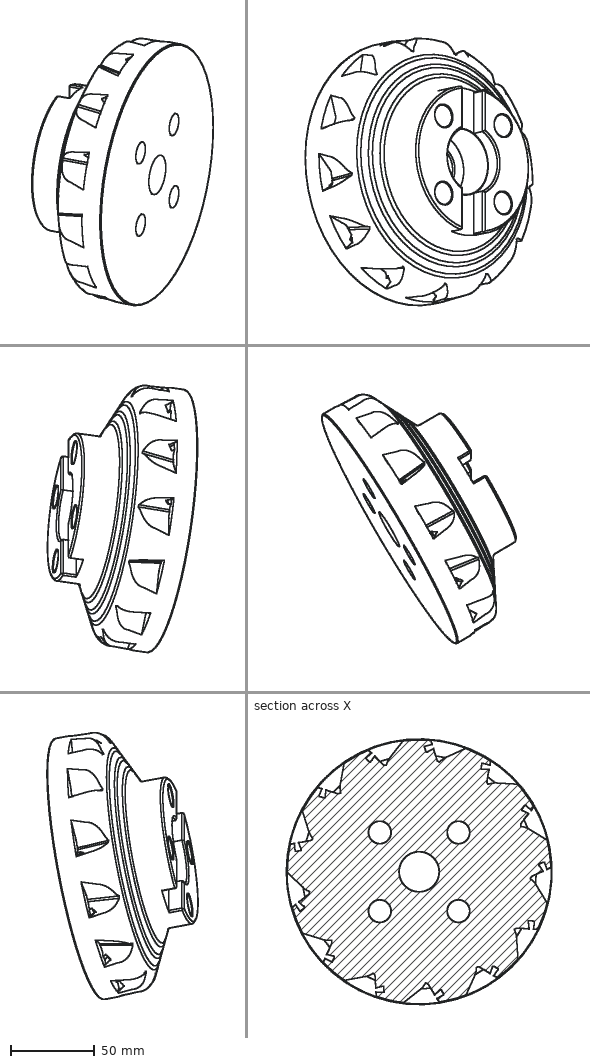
import cadquery as cq
import math

length = 63.0
outer_radius = 80.0
back_chamfer = 0.6

hub_radius = 45.0
hub_chamfer = 1.3
hub_end_x = 15.0

cone_start = (17.6, 46.2)
cone_end = (32.3, 74.5)
crown_start = (41.5, 79.2)
rim_start_x = 54.0
rim_step = 1.5
rim_lip_radius = 79.7

groove_radii = (54.0, 60.5, 66.9)
groove_half_width = 1.1
groove_depth = 0.5

bore_radius = 12.0
bore_chamfer = 1.0
counterbore_radius = 20.0
counterbore_depth = 32.0
counterbore_chamfer = 1.1
bore_relief_start_x = 10.0
bore_relief_end_x = 24.8
bore_relief_taper = 1.3
bore_relief_step = 0.3
bolt_radius = 6.7
bolt_chamfer = 0.5
bolt_offset = 23.7
slot_width = 16.3
slot_depth = 9.3
slot_chamfer = 1.1

pocket_count = 13
pocket_pitch = 360 / pocket_count
first_pocket_angle = -3.4
pocket_end_x = 50.2
pocket_slant = 14.0
pocket_run = 32.0
pocket_clearance = 8.0
undercut_radius = 70.4
undercut_length = 5.1
seat_root = (-11.8, 1.1)
seat_angle = 28.4
seat_length = 22.4
relief_root = (-12.5, -0.2)
relief_bulge = 0.2
flank_root = (-8.8, -3.7)
flank_angle = -56.2
flank_length = 24.0

recess_center = 9.0
recess_reach = 3.4
recess_depth = 4.8


def on_cone(radius):
    """Point on the cone line at the given radius."""
    share = (radius - cone_start[1]) / (cone_end[1] - cone_start[1])
    return cone_start[0] + share * (cone_end[0] - cone_start[0]), radius


def make_body():
    cone_angle = math.atan2(cone_end[1] - cone_start[1], cone_end[0] - cone_start[0])
    outline = (
        cq.Workplane("XY")
        .moveTo(0, 0)
        .lineTo(0, hub_radius - hub_chamfer)
        .lineTo(hub_chamfer, hub_radius)
        .lineTo(hub_end_x, hub_radius)
        .tangentArcPoint(cone_start, relative=False)
    )
    for radius in groove_radii:
        middle_x, middle_radius = on_cone(radius)
        bottom = (
            middle_x + groove_depth * math.sin(cone_angle),
            middle_radius - groove_depth * math.cos(cone_angle),
        )
        outline = outline.lineTo(*on_cone(radius - groove_half_width))
        outline = outline.threePointArc(bottom, on_cone(radius + groove_half_width))
    profile = (
        outline.lineTo(*cone_end)
        .tangentArcPoint(crown_start, relative=False)
        .lineTo(rim_start_x - rim_step, rim_lip_radius)
        .lineTo(rim_start_x, outer_radius)
        .lineTo(length - back_chamfer, outer_radius)
        .lineTo(length, outer_radius - back_chamfer)
        .lineTo(length, 0)
        .close()
    )
    return profile.revolve(360, (0, 0, 0), (1, 0, 0))


def cut_slot(body):
    slot = cq.Workplane("XY").box(
        slot_depth, slot_width, 2 * outer_radius, centered=(False, True, True)
    )
    body = body.cut(slot)
    side_corners = body.edges("|X").filter(
        lambda edge: edge.Center().x < slot_depth and abs(edge.Center().y) < slot_width
    )
    body = side_corners.chamfer(slot_chamfer)
    half_width = slot_width / 2
    bevel = (
        cq.Workplane("XY")
        .polyline([
            (0, -half_width - slot_chamfer),
            (0, half_width + slot_chamfer),
            (slot_chamfer, half_width),
            (slot_chamfer, -half_width),
        ])
        .close()
        .extrude(outer_radius, both=True)
    )
    return body.cut(bevel)


def cut_bores(body):
    bore = (
        cq.Workplane("XY")
        .polyline([
            (0, 0),
            (0, counterbore_radius + counterbore_chamfer),
            (counterbore_chamfer, counterbore_radius),
            (bore_relief_start_x, counterbore_radius),
            (bore_relief_start_x, counterbore_radius + bore_relief_step),
            (bore_relief_end_x, counterbore_radius + bore_relief_step),
            (bore_relief_end_x + bore_relief_taper, counterbore_radius),
            (counterbore_depth, counterbore_radius),
            (counterbore_depth, bore_radius + bore_chamfer),
            (counterbore_depth + bore_chamfer, bore_radius),
            (length, bore_radius),
            (length, 0),
        ])
        .close()
        .revolve(360, (0, 0, 0), (1, 0, 0))
    )
    bolt_hole = (
        cq.Workplane("XY")
        .polyline([
            (0, 0),
            (0, bolt_radius + bolt_chamfer),
            (bolt_chamfer, bolt_radius),
            (length, bolt_radius),
            (length, 0),
        ])
        .close()
        .revolve(360, (0, 0, 0), (1, 0, 0))
    )
    body = body.cut(bore)
    for y in (-bolt_offset, bolt_offset):
        for z in (-bolt_offset, bolt_offset):
            body = body.cut(bolt_hole.translate((0, y, z)))
    return body


def polar(start, distance, angle):
    """Point at a distance and an angle in degrees from a start point."""
    turn = math.radians(angle)
    return start[0] + distance * math.cos(turn), start[1] + distance * math.sin(turn)


def make_pocket_prism():
    """Long V prism on the -Y side with its seat recess, slanted inward toward +X.

    Section coordinates start on the crown, with x running outward and y toward +Z.
    """
    slant = math.radians(pocket_slant)
    section = cq.Plane(
        origin=(pocket_end_x, -crown_start[1], 0),
        xDir=(math.sin(slant), -math.cos(slant), 0),
        normal=(-math.cos(slant), -math.sin(slant), 0),
    )
    seat_top = polar(seat_root, seat_length, seat_angle)
    bulge_middle = (
        (flank_root[0] + relief_root[0]) / 2 + relief_bulge,
        (flank_root[1] + relief_root[1]) / 2 + relief_bulge,
    )
    flank_top = polar(flank_root, flank_length, flank_angle)
    prism = (
        cq.Workplane(section)
        .moveTo(*seat_top)
        .lineTo(*seat_root)
        .lineTo(*relief_root)
        .threePointArc(bulge_middle, flank_root)
        .lineTo(*flank_top)
        .close()
        .extrude(pocket_run, both=True)
    )
    recess = (
        cq.Workplane(section)
        .transformed(offset=(*seat_root, 0), rotate=(0, 0, seat_angle))
        .transformed(offset=(recess_center, 0, 0), rotate=(-90, 0, 0))
        .polyline([
            (-recess_reach, 0),
            (0, recess_reach),
            (recess_reach, 0),
            (0, -recess_reach),
        ])
        .close()
        .extrude(recess_depth, both=True)
    )
    return prism.union(recess)


def make_pocket():
    """Pocket prism stopped by an end wall that is undercut near the pocket root."""
    outside_y = -crown_start[1] - pocket_clearance
    limit = (
        cq.Workplane("XY")
        .polyline([
            (0, 0),
            (pocket_end_x + undercut_length, 0),
            (pocket_end_x + undercut_length, -undercut_radius),
            (pocket_end_x, -undercut_radius),
            (pocket_end_x, outside_y),
            (0, outside_y),
        ])
        .close()
        .extrude(outer_radius, both=True)
    )
    return make_pocket_prism().intersect(limit)


def cut_pockets(body):
    pocket = make_pocket()
    for index in range(pocket_count):
        angle = first_pocket_angle + index * pocket_pitch
        body = body.cut(pocket.rotate((0, 0, 0), (1, 0, 0), -angle))
    return body


result = cut_pockets(cut_bores(cut_slot(make_body())))